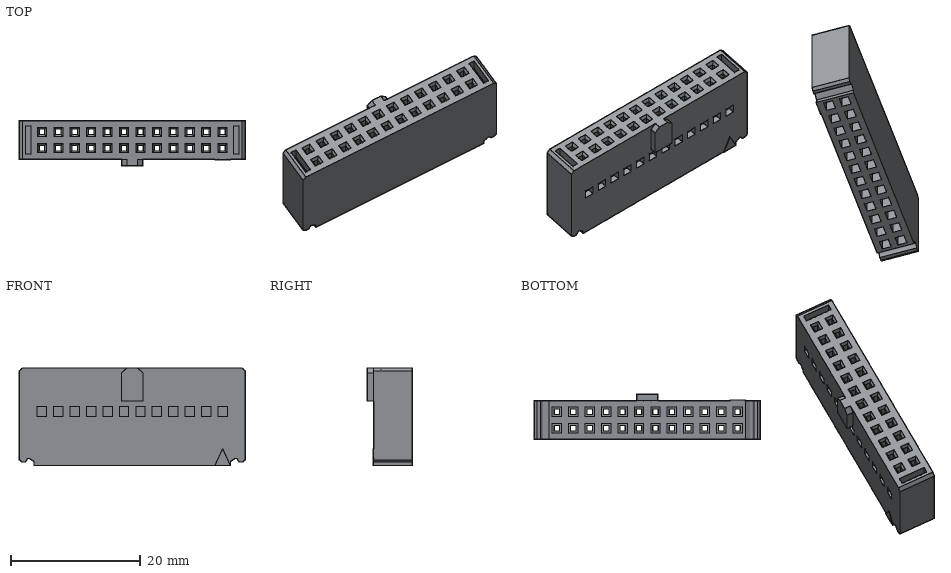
import cadquery as cq

length = 34.98
depth = 6.0
height = 15.1
front_y = -depth / 2
end_x = length / 2
corner_chamfer = 0.5

pitch = 2.54
columns = 12
rows = 2
column_xs = [(i - (columns - 1) / 2) * pitch for i in range(columns)]
row_ys = [(i - (rows - 1) / 2) * pitch for i in range(rows)]
pin_hole = 0.8
funnel_mouth = 1.4
funnel_depth = 0.5
window_width = 1.45
window_height = 1.5
window_bottom = 7.6
cavity_width = window_width
cavity_top = window_bottom + window_height

slot_width = 0.9
slot_length = 4.3
slot_depth = 2.0
slot_inset = 1.4
slot_x = end_x - slot_inset

key_width = 3.3
key_height = 5.15
key_depth = 1.0
key_chamfer_x = 0.85
key_chamfer_z = 0.75

lug_bottom = 0.53
lug_inner = 0.98
lug_outer = 0.45
lug_chamfer_height = 0.37
notch_top = 1.09
notch_top_inset = 1.45
notch_arc_start = (1.22, 0.9)
notch_arc_end = (1.7, 1.0)
step_inset = 2.3
step_height = 0.62

mark_width = 2.4
mark_height = 2.6
mark_relief = 0.1


def box(x, y, z_bottom, size_x, size_y, size_z):
    """Box centred at (x, y) and rising from z_bottom."""
    base = cq.Workplane("XY", origin=(x, y, z_bottom))
    return base.box(size_x, size_y, size_z, centered=(True, True, False))


def front_plane(y):
    """XZ sketch plane at y, extruding towards -Y."""
    return cq.Workplane("XZ", origin=(0, y, 0))


def make_housing():
    """Block with chamfered upper corners and a lug and notch at each bottom end."""
    half = (
        front_plane(depth / 2)
        .moveTo(0, height)
        .lineTo(end_x - corner_chamfer, height)
        .lineTo(end_x, height - corner_chamfer)
        .lineTo(end_x, lug_bottom + lug_chamfer_height)
        .lineTo(end_x - lug_outer, lug_bottom)
        .lineTo(end_x - lug_inner, lug_bottom)
        .lineTo(end_x - notch_arc_start[0], notch_arc_start[1])
        .threePointArc(
            (end_x - notch_top_inset, notch_top),
            (end_x - notch_arc_end[0], notch_arc_end[1]),
        )
        .lineTo(end_x - step_inset, step_height)
        .lineTo(end_x - step_inset, 0)
        .lineTo(0, 0)
        .close()
        .extrude(depth)
    )
    return half.union(half.mirror("YZ"))


def make_key():
    """Polarising key, flush with the top, with its two upper corners cut off."""
    half_width = key_width / 2
    shoulder_x = half_width - key_chamfer_x
    shoulder_z = height - key_chamfer_z
    key_bottom = height - key_height
    outline = [
        (-half_width, key_bottom),
        (half_width, key_bottom),
        (half_width, shoulder_z),
        (shoulder_x, height),
        (-shoulder_x, height),
        (-half_width, shoulder_z),
    ]
    return front_plane(front_y).polyline(outline).close().extrude(key_depth)


def make_pin_one_mark():
    """Raised triangle below the last column, pointing up."""
    mark_x = column_xs[-1]
    outline = [
        (mark_x - mark_width / 2, 0),
        (mark_x + mark_width / 2, 0),
        (mark_x, mark_height),
    ]
    return front_plane(front_y).polyline(outline).close().extrude(mark_relief)


def make_contact_hole(x, y):
    """Through hole with a funnel mouth above and a wider contact cavity below."""
    hole = box(x, y, 0, pin_hole, pin_hole, height)
    cavity = box(x, y, 0, cavity_width, cavity_width, cavity_top)
    funnel = (
        cq.Workplane("XY", origin=(x, y, height - funnel_depth))
        .rect(pin_hole, pin_hole)
        .workplane(offset=funnel_depth)
        .rect(funnel_mouth, funnel_mouth)
        .loft(ruled=True)
    )
    return hole.union(cavity).union(funnel)


def make_window(x):
    """Opening from the front face into the front contact cavity."""
    window_depth = row_ys[0] - front_y
    window_y = front_y + window_depth / 2
    return box(x, window_y, window_bottom, window_width, window_depth, window_height)


result = make_housing().union(make_key()).union(make_pin_one_mark())

for column_x in column_xs:
    result = result.cut(make_window(column_x))
    for row_y in row_ys:
        result = result.cut(make_contact_hole(column_x, row_y))

for side in (-1, 1):
    result = result.cut(box(side * slot_x, 0, height - slot_depth, slot_width, slot_length, slot_depth))